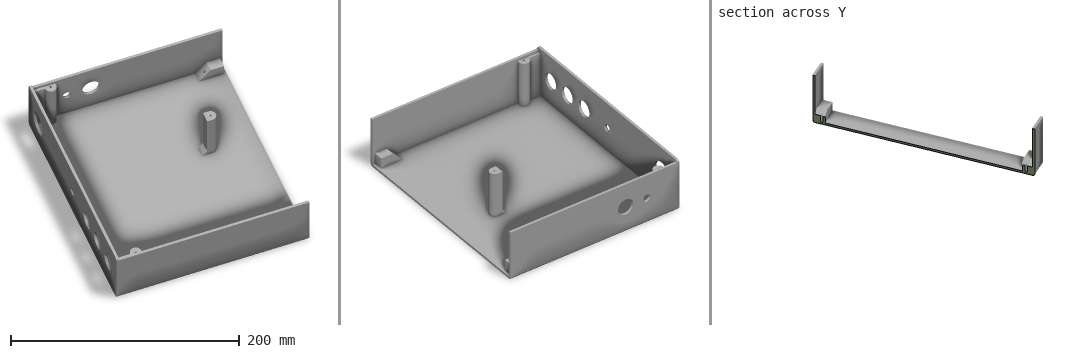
import cadquery as cq

width = 210.2
depth = 181.2
height = 53.5
wall = 2.5
corner_radius = 2.5
side_wall_height = height - corner_radius
hole_height = height / 2

jack_diameter = 16.5
jack_pitch = 25.0
last_jack_x = 189.8
small_hole_diameter = 7.5
front_holes = [(23.1, 22.3), (width / 2, small_hole_diameter)]
front_holes += [(last_jack_x - i * jack_pitch, jack_diameter) for i in range(3)]

left_holes = [(34.9, small_hole_diameter), (57.5, 16.2)]

screw_diameter = 2.0
boss_radius = 5.3
support_top = 48.5
boss_inset = 5.0
left_boss_y = 18.7
right_boss_y = 20.2
rib_thickness = 2.5

post_radius = 5.0
post_x = 86.0
post_y = 137.0
foot_length = 5.0
foot_height = 5.0

block_width = 9.7
block_back_y = depth - wall
block_crest_y = block_back_y - 12.6
block_front_y = block_crest_y - 11.0
block_height = 11.0
block_screw_x = 8.5
block_screw_y = depth - 19.3


def box(x, y, z, dx, dy, dz):
    """Box with its minimum corner at (x, y, z)."""
    return cq.Workplane("XY").box(dx, dy, dz, centered=False).translate((x, y, z))


def upright(x, y, diameter, top):
    """Vertical cylinder from the floor surface to the given height."""
    return cq.Workplane("XY", origin=(x, y, wall)).circle(diameter / 2).extrude(top - wall)


def make_shell():
    """Tray with rounded lengthwise edges, cut down behind the front panel."""
    outer = box(0, 0, 0, width, depth, height).edges("|Y").fillet(corner_radius)
    cavity = box(wall, wall, wall, width - 2 * wall, depth, height)
    above_walls = box(0, wall, side_wall_height, width, depth, height)
    return outer.cut(cavity).cut(above_walls)


def side_profile(points, x, length):
    """Prism along +X from an outline of (y, z) points."""
    return cq.Workplane("YZ", origin=(x, 0, 0)).polyline(points).close().extrude(length)


def make_post():
    """Free-standing screw post, round at the back, with a sloped foot at the front."""
    post = upright(post_x, post_y, 2 * post_radius, support_top)
    left = post_x - post_radius
    front = post_y - post_radius
    post = post.union(box(left, front, wall, 2 * post_radius, post_radius, support_top - wall))
    foot = [(front, wall), (front, wall + foot_height), (front - foot_length, wall)]
    return post.union(side_profile(foot, left, 2 * post_radius))


def make_block(x):
    """Rear screw block with a slope facing the front."""
    top = wall + block_height
    outline = [(block_back_y, wall), (block_back_y, top), (block_crest_y, top), (block_front_y, wall)]
    return side_profile(outline, x, block_width)


def make_boss(x, y, rib_x):
    """Front screw boss merged with the side wall, tied to the panel by a rib along the wall."""
    boss = upright(x, y, 2 * boss_radius, support_top)
    boss = boss.union(box(rib_x, wall, wall, rib_thickness, y - wall, support_top - wall))
    inside = box(wall, wall, wall, width - 2 * wall, depth, height)
    return boss.intersect(inside)


result = make_shell()
result = result.union(make_post())
result = result.union(make_block(wall))
result = result.union(make_block(width - wall - block_width))
result = result.union(make_boss(boss_inset, left_boss_y, wall))
result = result.union(make_boss(width - boss_inset, right_boss_y, width - wall - rib_thickness))

screw_places = [
    (post_x, post_y),
    (boss_inset, left_boss_y),
    (width - boss_inset, right_boss_y),
    (block_screw_x, block_screw_y),
    (width - block_screw_x, block_screw_y),
]
for x, y in screw_places:
    result = result.cut(upright(x, y, screw_diameter, height))

for x, diameter in front_holes:
    drill = cq.Workplane("XZ", origin=(x, 0, hole_height)).circle(diameter / 2).extrude(-wall)
    result = result.cut(drill)
for y, diameter in left_holes:
    drill = cq.Workplane("YZ", origin=(0, y, hole_height)).circle(diameter / 2).extrude(wall)
    result = result.cut(drill)